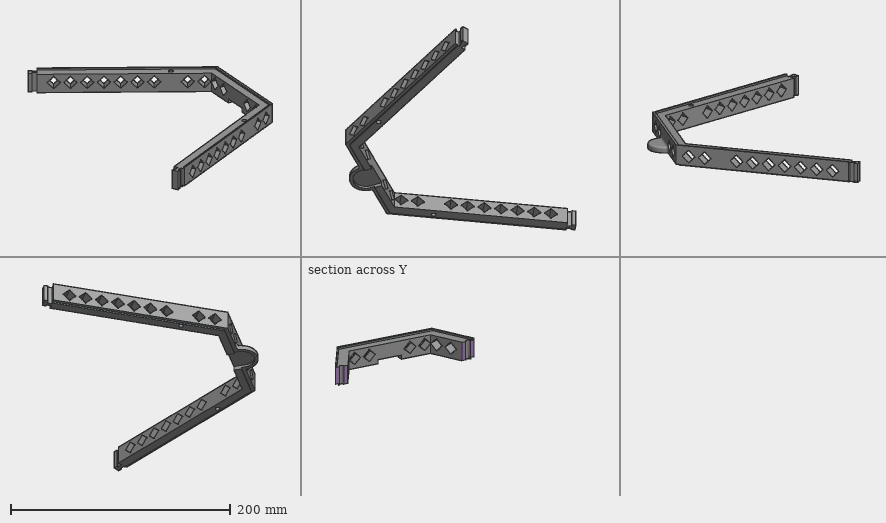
import cadquery as cq
import math

LEG_ANGLE = math.radians(60)
BAR_HALF_LENGTH = 48.77
LEG_LENGTH = 164.98
BAR_THICKNESS = 10.4
LEG_THICKNESS = 11.1
HEIGHT = 20

LIP_HEIGHT = 1.6
BAR_LIP = 2.4
LEG_LIP = 1.4
REBATE_HEIGHT = 1.5
BAR_REBATE = 3.3
LEG_REBATE = 2.7

CONNECTOR_CENTRE = LEG_THICKNESS / 2
CONNECTOR_HEIGHT = HEIGHT - LIP_HEIGHT
NECK_WIDTH = 3.2
NECK_LENGTH = 4.4
HEAD_WIDTH = 6.3
HEAD_LENGTH = 3.6

DIAMOND_DIAGONAL = 12
DIAMOND_Z = HEIGHT / 2
BAR_DIAMOND_X = (21, 36.2)
LEG_DIAMOND_START = 12
LEG_DIAMOND_PITCH = 15.3
LEG_DIAMOND_STEPS = (0, 1, 3, 4, 5, 6, 7, 8, 9)

PIN_DIAMETER = 4.3
PIN_STEP = 2

TAB_RADIUS = 15
TAB_CENTRE_Y = 0.25
TAB_BOTTOM = REBATE_HEIGHT
TAB_TOP = 7
TAB_WALL = 3
TAB_FILLET = 2

COS = math.cos(LEG_ANGLE)
SIN = math.sin(LEG_ANGLE)
LEG_NORMAL = (SIN, COS, 0)
BAR_NORMAL = (0, 1, 0)
OVERCUT = 5
SELECT_MARGIN = 0.1


def leg_point(along, inward):
    """Point on the +X leg, measured along it from the outer corner and inward from its outer face."""
    return (BAR_HALF_LENGTH + along * COS - inward * SIN, -along * SIN - inward * COS)


def corner_point(bar_inset, leg_inset):
    """Point where an inset of the bar's outer face meets an inset of the leg's outer face."""
    return leg_point((bar_inset - leg_inset * COS) / SIN, leg_inset)


def prism(outline, bottom, top):
    return cq.Workplane("XY").workplane(offset=bottom).polyline(outline).close().extrude(top - bottom)


def on_both_legs(shape):
    return shape.union(shape.mirror("YZ"))


def band(bar_insets, leg_insets, leg_length, bottom, top):
    """Strip along the bar and both legs, between an outer and an inner inset of each."""
    bar_outer, bar_inner = bar_insets
    leg_outer, leg_inner = leg_insets
    right_half = [
        corner_point(bar_outer, leg_outer),
        leg_point(leg_length, leg_outer),
        leg_point(leg_length, leg_inner),
        corner_point(bar_inner, leg_inner),
    ]
    left_half = [(-x, y) for x, y in reversed(right_half)]
    return prism(right_half + left_half, bottom, top)


def make_frame():
    """Bar and legs up to the foot of the lip, with the lip on top."""
    body_top = HEIGHT - LIP_HEIGHT
    body = band((0, BAR_THICKNESS), (0, LEG_THICKNESS), LEG_LENGTH, 0, body_top)
    lip = band((0, BAR_LIP), (0, LEG_LIP), LEG_LENGTH, body_top, HEIGHT)
    return body.union(lip)


def make_rebate():
    """Cutter for the bottom edge; it also runs past the connector heads."""
    length = LEG_LENGTH + NECK_LENGTH + HEAD_LENGTH + OVERCUT
    return band((-OVERCUT, BAR_REBATE), (-OVERCUT, LEG_REBATE), length, 0, REBATE_HEIGHT)


def connector_block(start, end, width):
    near = CONNECTOR_CENTRE - width / 2
    far = CONNECTOR_CENTRE + width / 2
    outline = [leg_point(start, near), leg_point(end, near), leg_point(end, far), leg_point(start, far)]
    return prism(outline, 0, CONNECTOR_HEIGHT)


def make_connectors():
    neck_end = LEG_LENGTH + NECK_LENGTH
    neck = connector_block(LEG_LENGTH, neck_end, NECK_WIDTH)
    head = connector_block(neck_end, neck_end + HEAD_LENGTH, HEAD_WIDTH)
    return on_both_legs(neck.union(head))


def add_tab(frame):
    """Join the half-round tab to the bar and round its top edge and its joint with the bar."""
    depth = TAB_RADIUS + TAB_CENTRE_Y
    outline = (
        cq.Workplane("XY")
        .workplane(offset=TAB_BOTTOM)
        .moveTo(-TAB_RADIUS, -BAR_LIP)
        .lineTo(-TAB_RADIUS, TAB_CENTRE_Y)
        .threePointArc((0, depth), (TAB_RADIUS, TAB_CENTRE_Y))
        .lineTo(TAB_RADIUS, -BAR_LIP)
        .close()
    )
    tab = outline.extrude(TAB_TOP - TAB_BOTTOM)
    tab = tab.edges(cq.selectors.NearestToPointSelector((0, depth, TAB_TOP))).fillet(TAB_FILLET)
    joined = frame.union(tab)
    joint = cq.selectors.BoxSelector(
        (-TAB_RADIUS - SELECT_MARGIN, -SELECT_MARGIN, TAB_BOTTOM + SELECT_MARGIN),
        (TAB_RADIUS + SELECT_MARGIN, SELECT_MARGIN, TAB_TOP + SELECT_MARGIN),
    )
    return joined.edges(joint).fillet(TAB_FILLET)


def make_tab_cavity():
    """Recess under the tab that continues as a straight slot through the bar."""
    radius = TAB_RADIUS - TAB_WALL
    slot_end = -BAR_THICKNESS - OVERCUT
    outline = (
        cq.Workplane("XY")
        .moveTo(-radius, slot_end)
        .lineTo(-radius, TAB_CENTRE_Y)
        .threePointArc((0, TAB_CENTRE_Y + radius), (radius, TAB_CENTRE_Y))
        .lineTo(radius, slot_end)
        .close()
    )
    return outline.extrude(TAB_TOP - TAB_WALL)


def diamond(point, normal, thickness):
    """Diamond prism that runs from a point on an outer face through the wall behind it."""
    x, y = point
    plane = cq.Plane(origin=(x, y, DIAMOND_Z), xDir=(normal[1], -normal[0], 0), normal=normal)
    half = DIAMOND_DIAGONAL / 2
    corners = [(half, 0), (0, half), (-half, 0), (0, -half)]
    return cq.Workplane(plane).polyline(corners).close().extrude(-thickness)


def make_diamonds():
    cutters = cq.Workplane("XY")
    for x in BAR_DIAMOND_X:
        cutters = cutters.union(diamond((x, 0), BAR_NORMAL, BAR_THICKNESS))
    for step in LEG_DIAMOND_STEPS:
        point = leg_point(LEG_DIAMOND_START + step * LEG_DIAMOND_PITCH, 0)
        cutters = cutters.union(diamond(point, LEG_NORMAL, LEG_THICKNESS))
    return on_both_legs(cutters)


def make_pin_holes():
    x, y = leg_point(LEG_DIAMOND_START + PIN_STEP * LEG_DIAMOND_PITCH, LEG_THICKNESS / 2)
    return cq.Workplane("XY").pushPoints([(x, y), (-x, y)]).circle(PIN_DIAMETER / 2).extrude(HEIGHT)


result = make_frame().union(make_connectors()).cut(make_rebate())
result = add_tab(result)
result = result.cut(make_tab_cavity())
result = result.cut(make_diamonds()).cut(make_pin_holes())